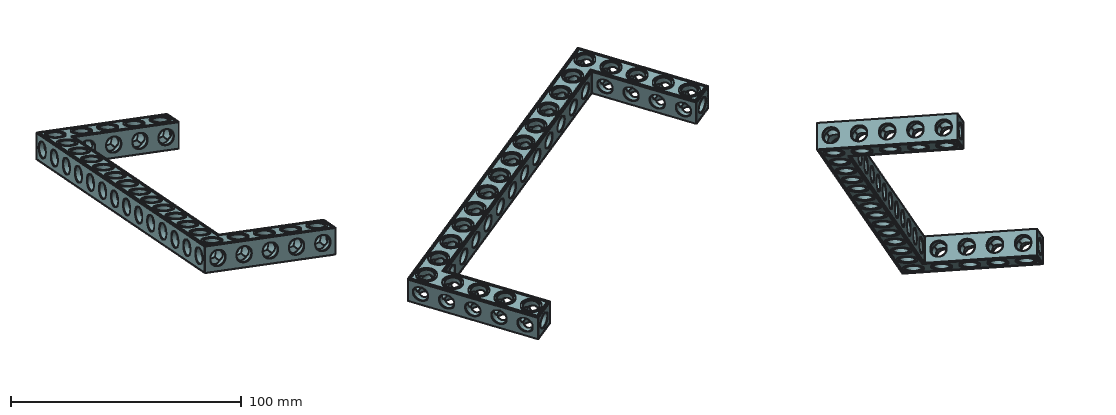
import cadquery as cq

LENGTH = 175
LONG_CELLS = 14
ARM_CELLS = 5
PITCH = LENGTH / LONG_CELLS
DEPTH = ARM_CELLS * PITCH

HOLE_DIAMETER = 7.0
MOUTH_CHAMFER = 0.26
COLLAR_DIAMETER = 9.3

RIM_WIDTH = 1.08
POCKET_DEPTH = 0.2

EDGE_CHAMFER = 0.32


def cell_centre(index):
    return (index + 0.5) * PITCH


def frame(inset, height):
    """U-shaped plate whose outline is pulled in by the inset on every side."""
    outline = [
        (inset, inset),
        (LENGTH - inset, inset),
        (LENGTH - inset, DEPTH - inset),
        (LENGTH - PITCH + inset, DEPTH - inset),
        (LENGTH - PITCH + inset, PITCH - inset),
        (PITCH - inset, PITCH - inset),
        (PITCH - inset, DEPTH - inset),
        (inset, DEPTH - inset),
    ]
    return cq.Workplane("XY").polyline(outline).close().extrude(height)


def pocket(base_z, centres):
    """Shallow volume between the rim and the hole collars."""
    collars = cq.Workplane("XY").pushPoints(centres).circle(COLLAR_DIAMETER / 2).extrude(POCKET_DEPTH)
    return frame(RIM_WIDTH, POCKET_DEPTH).cut(collars).translate((0, 0, base_z))


def hole_cutter(length):
    """Cylinder along +Z that flares at both ends to bevel the hole mouths."""
    radius = HOLE_DIAMETER / 2
    mouth_radius = radius + MOUTH_CHAMFER
    profile = [
        (0, 0),
        (mouth_radius, 0),
        (radius, MOUTH_CHAMFER),
        (radius, length - MOUTH_CHAMFER),
        (mouth_radius, length),
        (0, length),
    ]
    return cq.Workplane("XZ").polyline(profile).close().revolve(360, (0, 0), (0, 1)).val()


def drill(body, plane, centres, length):
    """Cut bevelled holes of one length, running along the plane's normal."""
    cutter = hole_cutter(length)
    holes = [cutter.moved(plane.location * cq.Location(cq.Vector(x, y, 0))) for x, y in centres]
    return body.cut(cq.Workplane(cq.Compound.makeCompound(holes)))


end_columns = (0, LONG_CELLS - 1)
middle_columns = range(1, LONG_CELLS - 1)
arm_rows = range(1, ARM_CELLS)
mid_height = PITCH / 2

cell_centres = [(cell_centre(column), cell_centre(0)) for column in range(LONG_CELLS)]
for column in end_columns:
    cell_centres += [(cell_centre(column), cell_centre(row)) for row in arm_rows]

result = frame(0, PITCH).edges().chamfer(EDGE_CHAMFER)
for base_z in (0, PITCH - POCKET_DEPTH):
    result = result.cut(pocket(base_z, cell_centres))

result = drill(result, cq.Plane.XY(), cell_centres, PITCH)

front_plane = cq.Plane(origin=(0, 0, mid_height), xDir=(1, 0, 0), normal=(0, 1, 0))
arm_centres = [(cell_centre(column), 0) for column in end_columns]
bottom_centres = [(cell_centre(column), 0) for column in middle_columns]
result = drill(result, front_plane, arm_centres, DEPTH)
result = drill(result, front_plane, bottom_centres, PITCH)

row_centres = [(cell_centre(row), 0) for row in arm_rows]
for arm_x in (0, LENGTH - PITCH):
    arm_plane = cq.Plane(origin=(arm_x, 0, mid_height), xDir=(0, 1, 0), normal=(1, 0, 0))
    result = drill(result, arm_plane, row_centres, PITCH)
left_plane = cq.Plane(origin=(0, 0, mid_height), xDir=(0, 1, 0), normal=(1, 0, 0))
result = drill(result, left_plane, [(cell_centre(0), 0)], LENGTH)